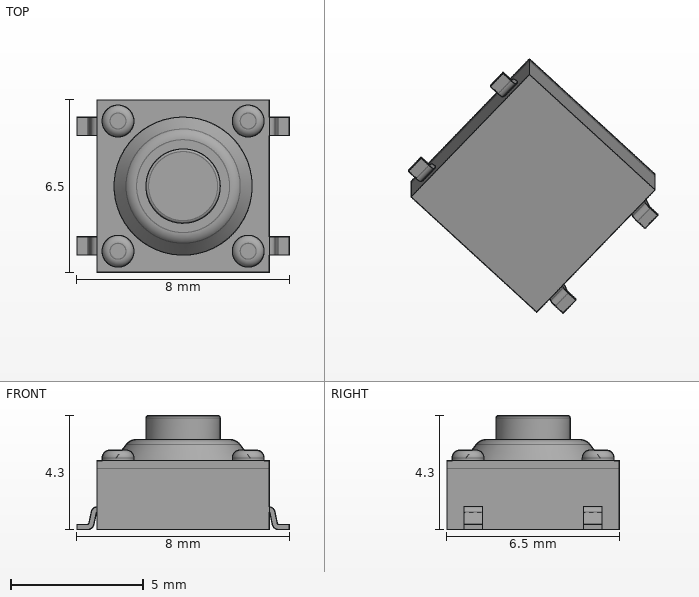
import cadquery as cq
import math

housing_side = 6.5
housing_height = 2.6
cover_thickness = 0.3
base_height = housing_height - cover_thickness

dome_base_radius = 2.6
dome_top_radius = 2.0
dome_height = 0.8
dome_rim_fillet = 0.5

button_radius = 1.4
button_top = 4.3
button_fillet = 0.1

rivet_radius = 0.6
rivet_height = 0.4
rivet_fillet = 0.3
rivet_offset = 2.45

lead_span = 8.0
lead_width = 0.7
lead_thickness = 0.2
lead_offset = 2.25
lead_top = 0.87
lead_foot_length = 0.4
lead_lean = math.radians(12)
lead_embed = 0.25
bend_inner_radius = 0.05
bend_outer_radius = bend_inner_radius + lead_thickness


def plate(bottom, height):
    """Square housing plate starting at the given height."""
    return (
        cq.Workplane("XY")
        .workplane(offset=bottom)
        .rect(housing_side, housing_side)
        .extrude(height)
    )


def make_dome():
    """Truncated cone with a rounded upper rim."""
    dome_top = housing_height + dome_height
    cone = (
        cq.Workplane("XZ")
        .moveTo(0, housing_height)
        .lineTo(dome_base_radius, housing_height)
        .lineTo(dome_top_radius, dome_top)
        .lineTo(0, dome_top)
        .close()
        .revolve(360, (0, 0, 0), (0, 1, 0))
    )
    return cone.faces(">Z").edges().fillet(dome_rim_fillet)


def make_button():
    """Cylinder from the cover up through the dome, with a rounded top edge."""
    return (
        cq.Workplane("XY")
        .workplane(offset=housing_height)
        .circle(button_radius)
        .extrude(button_top - housing_height)
        .faces(">Z")
        .edges()
        .fillet(button_fillet)
    )


def make_rivet(x, y):
    """Rounded rivet head standing on the cover."""
    return (
        cq.Workplane("XY", origin=(x, y, housing_height))
        .circle(rivet_radius)
        .extrude(rivet_height)
        .faces(">Z")
        .edges()
        .fillet(rivet_fillet)
    )


def polar_point(center, radius, angle):
    """Point at an angle (from +X towards +Z) around a bend centre."""
    return (center[0] + radius * math.cos(angle), center[1] + radius * math.sin(angle))


def make_left_lead(y):
    """Lead on the -X side: flat foot, leaning leg, and a tail into the housing."""
    foot_tip = -lead_span / 2
    tail_end = -housing_side / 2 + lead_embed

    bend_mid_radius = (bend_inner_radius + bend_outer_radius) / 2
    lower_center = (foot_tip + lead_foot_length, bend_outer_radius)
    upper_center_z = lead_top - bend_outer_radius
    leg_rise = upper_center_z - lower_center[1] + 2 * bend_mid_radius * math.sin(lead_lean)
    leg_run = leg_rise * math.tan(lead_lean)
    upper_center_x = lower_center[0] + 2 * bend_mid_radius * math.cos(lead_lean) + leg_run
    upper_center = (upper_center_x, upper_center_z)

    lower_start = -math.pi / 2
    lower_end = -lead_lean
    lower_mid = (lower_start + lower_end) / 2
    upper_start = math.pi - lead_lean
    upper_end = math.pi / 2
    upper_mid = (upper_start + upper_end) / 2

    profile = (
        cq.Workplane("XZ", origin=(0, y, 0))
        .moveTo(foot_tip, 0)
        .lineTo(lower_center[0], 0)
        .threePointArc(
            polar_point(lower_center, bend_outer_radius, lower_mid),
            polar_point(lower_center, bend_outer_radius, lower_end),
        )
        .lineTo(*polar_point(upper_center, bend_inner_radius, upper_start))
        .threePointArc(
            polar_point(upper_center, bend_inner_radius, upper_mid),
            polar_point(upper_center, bend_inner_radius, upper_end),
        )
        .lineTo(tail_end, lead_top - lead_thickness)
        .lineTo(tail_end, lead_top)
        .lineTo(upper_center[0], lead_top)
        .threePointArc(
            polar_point(upper_center, bend_outer_radius, upper_mid),
            polar_point(upper_center, bend_outer_radius, upper_start),
        )
        .lineTo(*polar_point(lower_center, bend_inner_radius, lower_end))
        .threePointArc(
            polar_point(lower_center, bend_inner_radius, lower_mid),
            polar_point(lower_center, bend_inner_radius, lower_start),
        )
        .lineTo(foot_tip, lead_thickness)
        .close()
    )
    return profile.extrude(lead_width / 2, both=True)


result = plate(0, base_height).union(plate(base_height, cover_thickness), clean=False)
result = result.union(make_dome(), clean=False)
result = result.union(make_button(), clean=False)

for side_y in (-1, 1):
    for side_x in (-1, 1):
        rivet = make_rivet(side_x * rivet_offset, side_y * rivet_offset)
        result = result.union(rivet, clean=False)

    left_lead = make_left_lead(side_y * lead_offset)
    result = result.union(left_lead, clean=False)
    result = result.union(left_lead.mirror("YZ"), clean=False)